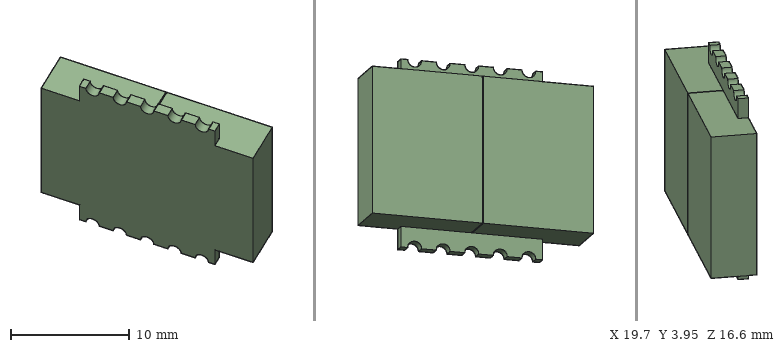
import cadquery as cq

body_width = 19.7
body_height = 12.98
depth = 3.95
board_width = 12.6
board_height = 16.6
board_thickness = 0.9
notch_radius = 0.61
notch_pitch = 2.55
notch_count = 5
gap_width = 0.1

front_y = -depth / 2
board_back_y = front_y + board_thickness


def make_core():
    """Rectangular core block, centred on the origin."""
    return cq.Workplane("XY").box(body_width, depth, body_height)


def make_board():
    """Thin board flush with the core's front face, standing out above and below."""
    board_y = front_y + board_thickness / 2
    board = cq.Workplane("XY").box(board_width, board_thickness, board_height)
    return board.translate((0, board_y, 0))


def make_notches():
    """Cylinders that leave half-round notches along the board's two long edges."""
    first_x = -notch_pitch * (notch_count - 1) / 2
    centres = [
        (first_x + index * notch_pitch, edge_z)
        for index in range(notch_count)
        for edge_z in (-board_height / 2, board_height / 2)
    ]
    return (
        cq.Workplane("XZ", origin=(0, front_y, 0))
        .pushPoints(centres)
        .circle(notch_radius)
        .extrude(-board_thickness)
    )


def make_gap():
    """Narrow slot between the two core halves, stopping at the back of the board."""
    gap_depth = depth - board_thickness
    gap_y = board_back_y + gap_depth / 2
    gap = cq.Workplane("XY").box(gap_width, gap_depth, body_height)
    return gap.translate((0, gap_y, 0))


result = make_core().union(make_board()).cut(make_notches()).cut(make_gap())